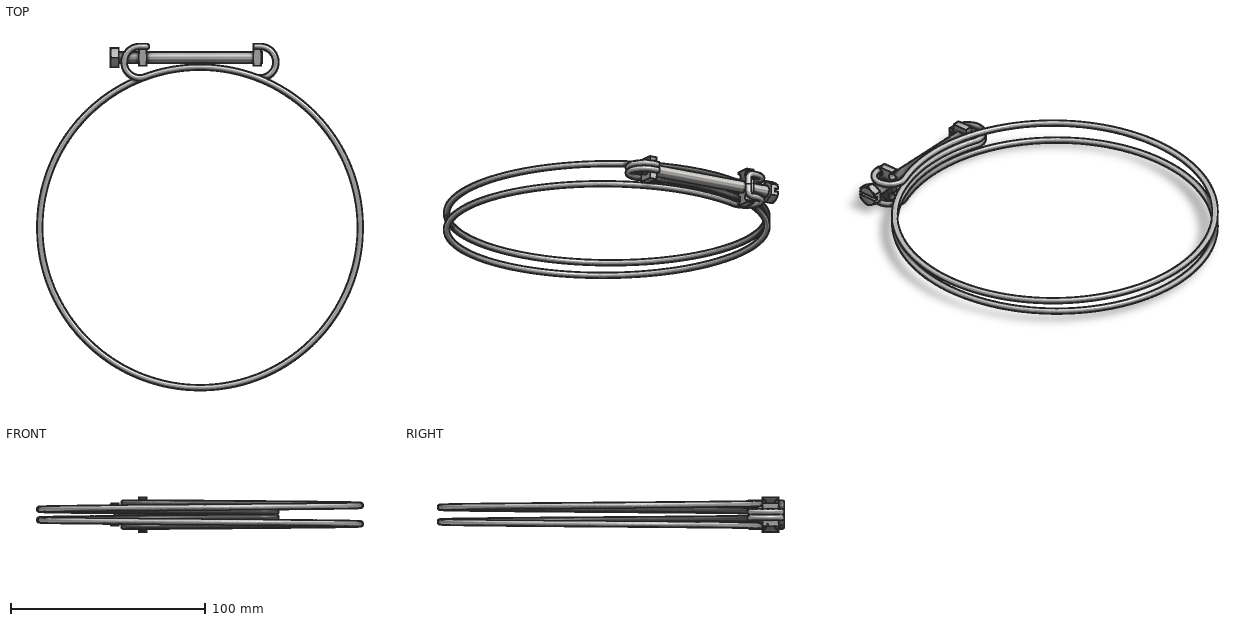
import cadquery as cq
import math


wire_radius = 1.5
ring_radius = 82.435
outer_level = 6.0
inner_level = wire_radius
blend_length = 0.9

hook_radius = 8.06
hook_x = 31.0
hook_y = math.sqrt((ring_radius + hook_radius) ** 2 - hook_x**2)
hook_back = hook_y + hook_radius

bend_radius = 2.5
bend_start_x = -30.0
bend_end_x = bend_start_x + bend_radius
bend_level = outer_level - bend_radius

right_angle = math.atan2(hook_y, hook_x)
left_angle = math.pi - right_angle
ring_sweep = 2 * math.pi + left_angle - right_angle
climb_per_radian = (outer_level - inner_level) / ring_sweep
blend_angle = blend_length / ring_radius
blend_climb = climb_per_radian * blend_angle

bar_x = 29.5
bar_thickness = 4.0
bar_width = 8.4
left_bar_height = 18.0
right_bar_height = 11.8
notch_radius = 2.0
bar_back = hook_back - wire_radius

screw_y = bar_back - bar_width / 2
shank_diameter = 6.0
shank_length = 73.6
head_x = -46.1
head_thickness = 4.4
head_across_flats = 10.0
head_across_corners = head_across_flats / math.cos(math.radians(30))
head_chamfer_angle = 30.0
slot_width = 1.6
slot_depth = 2.0
slot_cut_length = 2 * head_across_flats


def ring_point(angle, level):
    return cq.Vector(ring_radius * math.cos(angle), ring_radius * math.sin(angle), level)


def ring_direction(angle, climb):
    return cq.Vector(-ring_radius * math.sin(angle), ring_radius * math.cos(angle), climb)


def back_point(x, level):
    """Point on the straight wire ends behind the bars."""
    return cq.Vector(x, hook_back, level)


def ring_edges():
    """Helix of just over one turn, with a short blend into the flat hook at each end."""
    helix = cq.Wire.makeHelix(
        pitch=2 * math.pi * climb_per_radian,
        height=climb_per_radian * (ring_sweep - 2 * blend_angle),
        radius=ring_radius,
    )
    start_angle = math.degrees(right_angle + blend_angle)
    helix = helix.rotate(cq.Vector(0, 0, 0), cq.Vector(0, 0, 1), start_angle)
    helix = helix.translate(cq.Vector(0, 0, inner_level + blend_climb))

    right_blend = cq.Edge.makeSpline(
        [
            ring_point(right_angle, inner_level),
            ring_point(right_angle + blend_angle, inner_level + blend_climb),
        ],
        tangents=[
            ring_direction(right_angle, 0),
            ring_direction(right_angle + blend_angle, climb_per_radian),
        ],
    )
    left_blend = cq.Edge.makeSpline(
        [
            ring_point(left_angle - blend_angle, outer_level - blend_climb),
            ring_point(left_angle, outer_level),
        ],
        tangents=[
            ring_direction(left_angle - blend_angle, climb_per_radian),
            ring_direction(left_angle, 0),
        ],
    )
    return [left_blend, *helix.Edges(), right_blend]


def hook_edge(side, ring_angle, level):
    """Arc from the ring, around the outside, to the back of the bar."""
    return cq.Edge.makeThreePointArc(
        ring_point(ring_angle, level),
        cq.Vector(side * (hook_x + hook_radius), hook_y, level),
        back_point(side * hook_x, level),
    )


def left_end_edges():
    """Wire end along Z from mid-height, bent round to meet the left hook."""
    bend_offset = bend_radius * math.sqrt(0.5)
    upright = cq.Edge.makeLine(back_point(bend_end_x, 0), back_point(bend_end_x, bend_level))
    bend = cq.Edge.makeThreePointArc(
        back_point(bend_end_x, bend_level),
        back_point(bend_start_x + bend_offset, bend_level + bend_offset),
        back_point(bend_start_x, outer_level),
    )
    straight = cq.Edge.makeLine(
        back_point(bend_start_x, outer_level),
        back_point(-hook_x, outer_level),
    )
    return [upright, bend, straight]


def right_end_edge():
    """Straight wire end that stops flush with the inner face of the right bar."""
    return cq.Edge.makeLine(
        back_point(hook_x, inner_level),
        back_point(bar_x - bar_thickness / 2, inner_level),
    )


def make_upper_wire():
    path = cq.Wire.assembleEdges(
        [
            *left_end_edges(),
            hook_edge(-1, left_angle, outer_level),
            *ring_edges(),
            hook_edge(1, right_angle, inner_level),
            right_end_edge(),
        ]
    )
    section = cq.Workplane("XY", origin=(bend_end_x, hook_back, 0)).circle(wire_radius)
    return section.sweep(cq.Workplane(path))


def make_bar(middle_x, height):
    """Rectangular bar with a hole for the screw."""
    hole = cq.Workplane("YZ").circle(shank_diameter / 2).extrude(bar_thickness, both=True)
    bar = cq.Workplane("XY").box(bar_thickness, bar_width, height).cut(hole)
    return bar.translate((middle_x, screw_y, 0))


def make_left_bar():
    """Tall bar with a round notch in its front and back edges at the level of each hook."""
    notches = (
        cq.Workplane("YZ", origin=(-bar_x, screw_y, 0))
        .rarray(bar_width, 2 * outer_level, 2, 2)
        .circle(notch_radius)
        .extrude(bar_thickness, both=True)
    )
    return make_bar(-bar_x, left_bar_height).cut(notches)


def make_screw():
    axis = cq.Workplane("YZ", origin=(head_x, screw_y, 0))
    hexagon = axis.transformed(rotate=(0, 0, 90)).polygon(6, head_across_corners)
    head = hexagon.extrude(head_thickness)
    cone = axis.circle(head_across_flats / 2).extrude(head_thickness, taper=head_chamfer_angle - 90)
    slot = axis.rect(slot_cut_length, slot_width).extrude(slot_depth)
    shank = axis.workplane(offset=head_thickness).circle(shank_diameter / 2).extrude(shank_length)
    return head.intersect(cone).cut(slot).union(shank)


upper_wire = make_upper_wire()
lower_wire = upper_wire.mirror("XY")
left_bar = make_left_bar()
right_bar = make_bar(bar_x, right_bar_height)
screw = make_screw()

result = cq.Compound.makeCompound(
    [upper_wire.val(), lower_wire.val(), left_bar.val(), right_bar.val(), screw.val()]
)